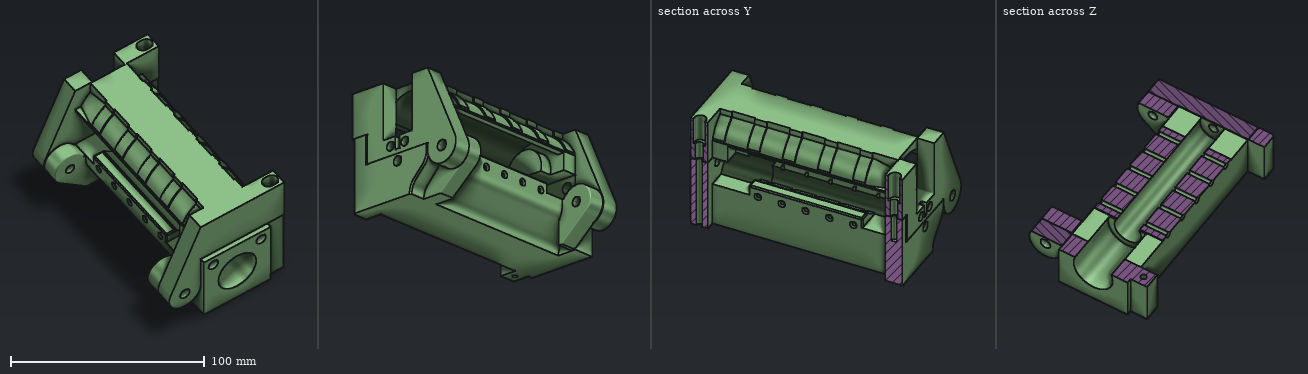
import cadquery as cq
import math

TOTAL_LENGTH = 126.0
TOTAL_HEIGHT = 67.5
PLATE_THICKNESS = 10.1
HALF_WIDTH = 21.2
SHELF_Z = 25.2
WALL_TOP_Z = 42.0
WALL_X = 113.0

HINGE_RADIUS = 10.0
HINGE_Y = -HALF_WIDTH - HINGE_RADIUS
HINGE_Z = 21.0

LOWER_AXIS_Z = HINGE_Z
UPPER_AXIS_Z = 45.0
ROLLER_DIA = 24.0

UNDERCUT_BOTTOM_Y = -9.2
UNDERCUT_CHAMFER = 0.9
TROUGH_RADIUS = 8.2
TROUGH_STEP_X = 92.6
SHAFT_HOLE_DIA = 5.4
UPPER_CLEARANCE_RADIUS = 20.4
STRIP_START_X = 26.0
STRIP_END_X = 92.0
STRIP_TOP_Z = HINGE_Z + HINGE_RADIUS
STRIP_CHAMFER = 0.8
SCREW_COUNT = 5
SCREW_PITCH = 13.9
SCREW_Z = 25.5
SCREW_DIA = 2.1
SCREW_SINK_DIA = 4.0
LEFT_LUG_WIDTH = 9.6
RIGHT_LUG_WIDTH = 10.1
LUG_HOLE_DIA = 5.4
LUG_ROUND = 0.9
LEFT_LUG_BACK_Y = UNDERCUT_BOTTOM_Y
RIGHT_LUG_BACK_Y = -18.9
TOWER_BACK_Y = 31.4
TOWER_ROUND = 1.9
TOWER_CHAMFER = 1.3
TOWER_HOLE_Y = 26.0
TOWER_HOLE_DIA = 3.0
TOWER_SINK_DIA = 3.4
LEFT_TOWER_HOLE_DEPTH = 15.1
WALL_HOLE_DIA = 6.0
WALL_HOLE_Y = 15.1
WALL_HOLE_Z = 36.2

EAR_HOLE_DIA = 6.0
ARM_BACK_Y = 31.9
ARM_SLOT_Y = 26.6
ARM_SLOT_WIDTH = 4.2
ARM_SLOT_LENGTH = 5.4
ARM_SINK_Y = 26.3
ARM_SINK_WIDTH = 6.5
ARM_SINK_LENGTH = 9.0
ARM_SINK_FLOOR_Z = 51.9
TRAY_BOTTOM_Z = 51.8
TRAY_FLOOR_Z = 52.8
SLEEVE_RADIUS = 22.0
SLEEVE_START_X = 23.0
CONE_SMALL_RADIUS = 19.2
SPINE_HALF_WIDTH = 11.6
RIB_STEP = 0.8
RIB_HALF_WIDTH = 20.9
FIRST_RIB_X = 24.7
FIRST_GROOVE_X = 31.8
GROOVE_COUNT = 4
GROOVE_PITCH = 20.4
GROOVE_WIDTH = 13.4
LID_BORE_RADIUS = 18.4
END_BLOCK_X = 104.2
PLUG_X = 97.0
POCKET_HALF_WIDTH = 10.2
POCKET_FLOOR_Z = 35.3
POCKET_ROUND = 1.0
NOTCH_WIDTH = 3.0
NOTCH_DEPTH = 3.0
NOTCH_FLOOR_Z = 27.8
PLATE_HOLE_DIA = 5.0
PLATE_HOLE_Y = 5.0
PLATE_HOLE_Z = 30.6


def block(x_range, y_range, z_range):
    """Box spanning the three given (low, high) ranges."""
    lows, highs = zip(x_range, y_range, z_range)
    sizes = [high - low for low, high in zip(lows, highs)]
    return cq.Workplane("XY").box(*sizes, centered=False).translate(lows)


def rod(x_start, x_end, y, z, radius):
    """Cylinder parallel to X."""
    return cq.Workplane("YZ", origin=(x_start, y, z)).circle(radius).extrude(x_end - x_start)


def hinge_point(angle):
    """Point (Y, Z) on the hinge circle at an angle in degrees from +Y."""
    return (
        HINGE_Y + HINGE_RADIUS * math.cos(math.radians(angle)),
        HINGE_Z + HINGE_RADIUS * math.sin(math.radians(angle)),
    )


def tangent_angle(y, z, side):
    """Angle on the hinge circle where a line from (y, z) touches it; side picks which of the two."""
    distance = math.hypot(y - HINGE_Y, z - HINGE_Z)
    toward = math.degrees(math.atan2(z - HINGE_Z, y - HINGE_Y))
    return toward + side * math.degrees(math.acos(HINGE_RADIUS / distance))


def hinge_hole(diameter):
    return rod(0, TOTAL_LENGTH, HINGE_Y, HINGE_Z, diameter / 2)


def base_wall():
    """Thick upright wall that closes the right end of the base."""
    return block((WALL_X, TOTAL_LENGTH), (-HALF_WIDTH, HALF_WIDTH), (0, WALL_TOP_Z))


def base_trunk():
    """Long body whose front curves back in an S below the hinge axis, turning through 45 degrees."""
    turn = math.radians(45)
    inset = UNDERCUT_BOTTOM_Y + HALF_WIDTH
    radius = (HINGE_Z - inset) / (2 * (math.sin(turn) + math.cos(turn) - 1))

    def arc_offset(angle):
        return radius * (1 - math.cos(angle)), radius * math.sin(angle)

    half_in, half_down = arc_offset(turn / 2)
    full_in, full_down = arc_offset(turn)
    trunk = (
        cq.Workplane("YZ")
        .moveTo(HALF_WIDTH, 0)
        .lineTo(HALF_WIDTH, SHELF_Z)
        .lineTo(-HALF_WIDTH, SHELF_Z)
        .lineTo(-HALF_WIDTH, HINGE_Z)
        .threePointArc(
            (-HALF_WIDTH + half_in, HINGE_Z - half_down), (-HALF_WIDTH + full_in, HINGE_Z - full_down)
        )
        .lineTo(UNDERCUT_BOTTOM_Y - full_in, full_down)
        .threePointArc((UNDERCUT_BOTTOM_Y - half_in, half_down), (UNDERCUT_BOTTOM_Y, 0))
        .close()
        .extrude(WALL_X)
    )
    front_edges = cq.selectors.BoxSelector(
        (-1.3, -HALF_WIDTH - 1.3, 0.1), (1.3, UNDERCUT_BOTTOM_Y, SHELF_Z - 0.1)
    )
    return trunk.edges(front_edges).chamfer(UNDERCUT_CHAMFER)


def upper_clearance():
    return rod(STRIP_START_X, STRIP_END_X, 0, UPPER_AXIS_Z, UPPER_CLEARANCE_RADIUS)


def screw_strips():
    """Two bevelled strips on the shelf, hollowed between to clear the upper roller."""
    strips = block((STRIP_START_X, STRIP_END_X), (-HALF_WIDTH, HALF_WIDTH), (SHELF_Z, STRIP_TOP_Z))
    strips = strips.edges("|Z").chamfer(STRIP_CHAMFER).cut(upper_clearance())
    return strips.edges(">Z").chamfer(STRIP_CHAMFER)


def screw_holes():
    """Row of through holes along Y, countersunk on the front and back faces."""
    middle_x = (STRIP_START_X + STRIP_END_X) / 2
    sink_depth = (SCREW_SINK_DIA - SCREW_DIA) / 2
    holes = cq.Workplane("XY")
    for index in range(SCREW_COUNT):
        x = middle_x + (index - (SCREW_COUNT - 1) / 2) * SCREW_PITCH
        drill = cq.Solid.makeCylinder(
            SCREW_DIA / 2, 2 * HALF_WIDTH, cq.Vector(x, -HALF_WIDTH, SCREW_Z), cq.Vector(0, 1, 0)
        )
        holes = holes.add(drill)
        for side in (-1, 1):
            sink = cq.Solid.makeCone(
                SCREW_SINK_DIA / 2,
                SCREW_DIA / 2,
                sink_depth,
                cq.Vector(x, side * HALF_WIDTH, SCREW_Z),
                cq.Vector(0, -side, 0),
            )
            holes = holes.add(sink)
    return holes.combine()


def hinge_lug(x_start, width, back_y):
    """Rounded hinge lug with a tail that slopes down to the underside of the base."""
    tail_angle = tangent_angle(-HALF_WIDTH, 0, -1)
    top_angle = 45
    top_y, top_z = hinge_point(top_angle)
    root_y = top_y + top_z - SHELF_Z
    lug = (
        cq.Workplane("YZ", origin=(x_start, 0, 0))
        .moveTo(root_y, SHELF_Z)
        .lineTo(top_y, top_z)
        .threePointArc(hinge_point(180), hinge_point(tail_angle))
        .lineTo(-HALF_WIDTH, 0)
        .lineTo(back_y, 0)
        .lineTo(back_y, SHELF_Z)
        .close()
        .extrude(width)
    )
    rims = cq.selectors.BoxSelector(
        (x_start - 1.3, HINGE_Y - HINGE_RADIUS - 1.3, 0.1),
        (x_start + width + 1.3, -HALF_WIDTH - 0.1, TOTAL_HEIGHT),
    )
    return lug.edges("#X").edges(rims).fillet(LUG_ROUND)


def tower(x_start, hole_depth):
    """Upright post behind the base that carries one lid screw."""
    post = block((x_start, x_start + PLATE_THICKNESS), (HALF_WIDTH, TOWER_BACK_Y), (0, WALL_TOP_Z))
    hole = (
        cq.Workplane("XY", origin=(x_start + PLATE_THICKNESS / 2, TOWER_HOLE_Y, WALL_TOP_Z))
        .circle(TOWER_HOLE_DIA / 2)
        .extrude(-hole_depth)
    )
    sink_width = (TOWER_SINK_DIA - TOWER_HOLE_DIA) / 2
    return post.cut(hole).faces(">Z").edges("%CIRCLE").chamfer(sink_width)


def tower_corner():
    """Wedge that bevels the left tower's inner corner above the shelf."""
    return (
        cq.Workplane("XY", origin=(0, HALF_WIDTH, SHELF_Z))
        .polyline([(0, 0), (TOWER_CHAMFER, 0), (0, TOWER_CHAMFER)])
        .close()
        .extrude(WALL_TOP_Z - SHELF_Z)
    )


def make_base():
    left_tower = tower(0, LEFT_TOWER_HOLE_DEPTH).edges("|Z and <X and >Y").fillet(TOWER_ROUND)
    base = (
        base_trunk()
        .union(base_wall())
        .union(screw_strips())
        .union(hinge_lug(PLATE_THICKNESS, LEFT_LUG_WIDTH, LEFT_LUG_BACK_Y))
        .union(hinge_lug(WALL_X - RIGHT_LUG_WIDTH, RIGHT_LUG_WIDTH, RIGHT_LUG_BACK_Y))
        .union(left_tower.cut(tower_corner()))
        .union(tower(WALL_X, WALL_TOP_Z))
    )
    base = (
        base.cut(rod(PLATE_THICKNESS, TROUGH_STEP_X, 0, LOWER_AXIS_Z, TROUGH_RADIUS))
        .cut(rod(TROUGH_STEP_X, TOTAL_LENGTH, 0, LOWER_AXIS_Z, ROLLER_DIA / 2))
        .cut(rod(0, PLATE_THICKNESS, 0, LOWER_AXIS_Z, SHAFT_HOLE_DIA / 2))
        .cut(upper_clearance())
        .cut(screw_holes())
        .cut(hinge_hole(LUG_HOLE_DIA))
    )
    for y in (-WALL_HOLE_Y, WALL_HOLE_Y):
        base = base.cut(rod(WALL_X, TOTAL_LENGTH, y, WALL_HOLE_Z, WALL_HOLE_DIA / 2))
    return base


def arm_slot(x, y, width, length, bottom_z, top_z):
    """Upright round-ended slot, long in Y, in one of the lid arms."""
    return (
        cq.Workplane("XY", origin=(x, y, bottom_z))
        .slot2D(length, width, 90)
        .extrude(top_z - bottom_z)
    )


def end_plate(x_start):
    """Lid end plate: hinge ear in front, screw arm behind."""
    ear_angle = tangent_angle(-HALF_WIDTH, TOTAL_HEIGHT, 1)
    plate = (
        cq.Workplane("YZ", origin=(x_start, 0, 0))
        .moveTo(ARM_BACK_Y, TOTAL_HEIGHT)
        .lineTo(-HALF_WIDTH, TOTAL_HEIGHT)
        .lineTo(*hinge_point(ear_angle))
        .threePointArc(hinge_point(270), hinge_point(360))
        .lineTo(-HALF_WIDTH, SHELF_Z)
        .lineTo(HALF_WIDTH, SHELF_Z)
        .lineTo(HALF_WIDTH, WALL_TOP_Z)
        .lineTo(ARM_BACK_Y, WALL_TOP_Z)
        .close()
        .extrude(PLATE_THICKNESS)
    )
    x = x_start + PLATE_THICKNESS / 2
    slot = arm_slot(x, ARM_SLOT_Y, ARM_SLOT_WIDTH, ARM_SLOT_LENGTH, WALL_TOP_Z, TOTAL_HEIGHT)
    sink = arm_slot(x, ARM_SINK_Y, ARM_SINK_WIDTH, ARM_SINK_LENGTH, ARM_SINK_FLOOR_Z, TOTAL_HEIGHT)
    return plate.cut(slot).cut(sink)


def left_plate_openings():
    """Open-topped bearing pocket with a notch in its floor, and two holes beside the notch."""
    pocket = block(
        (0, PLATE_THICKNESS), (-POCKET_HALF_WIDTH, POCKET_HALF_WIDTH), (POCKET_FLOOR_Z, TOTAL_HEIGHT)
    )
    pocket = pocket.edges("|X and <Z").fillet(POCKET_ROUND)
    notch = block((0, NOTCH_DEPTH), (-NOTCH_WIDTH / 2, NOTCH_WIDTH / 2), (NOTCH_FLOOR_Z, TOTAL_HEIGHT))
    openings = pocket.union(notch)
    for y in (-PLATE_HOLE_Y, PLATE_HOLE_Y):
        openings = openings.union(rod(0, PLATE_THICKNESS, y, PLATE_HOLE_Z, PLATE_HOLE_DIA / 2))
    return openings


def rib(x_start, x_end):
    """Stretch of the tray that stands proud of the sleeve and of the spine's sides."""
    full_x = (x_start, x_end)
    full_z = (TRAY_BOTTOM_Z, TOTAL_HEIGHT)
    half_width = SPINE_HALF_WIDTH + RIB_STEP
    spine = block(full_x, (-half_width, half_width), full_z)
    sleeve = rod(x_start, x_end, 0, UPPER_AXIS_Z, SLEEVE_RADIUS + RIB_STEP)
    return sleeve.union(spine).intersect(block(full_x, (-RIB_HALF_WIDTH, RIB_HALF_WIDTH), full_z))


def tray():
    """Half sleeve over the upper roller, with a flat spine on top and a flange along each side."""
    full_x = (PLATE_THICKNESS, WALL_X)
    full_y = (-HALF_WIDTH, HALF_WIDTH)
    cone = cq.Workplane(
        cq.Solid.makeCone(
            CONE_SMALL_RADIUS,
            SLEEVE_RADIUS,
            SLEEVE_START_X - PLATE_THICKNESS,
            cq.Vector(PLATE_THICKNESS, 0, UPPER_AXIS_Z),
            cq.Vector(1, 0, 0),
        )
    )
    body = (
        block(full_x, full_y, (TRAY_BOTTOM_Z, TRAY_FLOOR_Z))
        .union(block(full_x, (-SPINE_HALF_WIDTH, SPINE_HALF_WIDTH), (TRAY_BOTTOM_Z, TOTAL_HEIGHT)))
        .union(cone)
        .union(rod(SLEEVE_START_X, WALL_X, 0, UPPER_AXIS_Z, SLEEVE_RADIUS))
    )
    rib_x = FIRST_RIB_X
    for index in range(GROOVE_COUNT):
        groove_x = FIRST_GROOVE_X + index * GROOVE_PITCH
        body = body.union(rib(rib_x, groove_x))
        rib_x = groove_x + GROOVE_WIDTH
    body = body.union(rib(rib_x, WALL_X))
    return body.intersect(block(full_x, full_y, (TRAY_BOTTOM_Z, TOTAL_HEIGHT)))


def end_plug():
    """Round boss at the right end of the lid bore, flat underneath."""
    boss = rod(PLUG_X, END_BLOCK_X, 0, UPPER_AXIS_Z, ROLLER_DIA / 2)
    envelope = block((PLUG_X, END_BLOCK_X), (-HALF_WIDTH, HALF_WIDTH), (WALL_TOP_Z, TOTAL_HEIGHT))
    return boss.intersect(envelope)


def make_lid():
    end_block = block((END_BLOCK_X, WALL_X), (-HALF_WIDTH, HALF_WIDTH), (WALL_TOP_Z, TRAY_FLOOR_Z))
    return (
        tray()
        .union(end_block)
        .cut(rod(PLATE_THICKNESS, END_BLOCK_X, 0, UPPER_AXIS_Z, LID_BORE_RADIUS))
        .union(end_plug())
        .union(end_plate(0).cut(left_plate_openings()))
        .union(end_plate(WALL_X).cut(base_wall()))
        .cut(hinge_hole(EAR_HOLE_DIA))
    )


base = make_base()
lid = make_lid()

result = cq.Compound.makeCompound([base.val(), lid.val()])